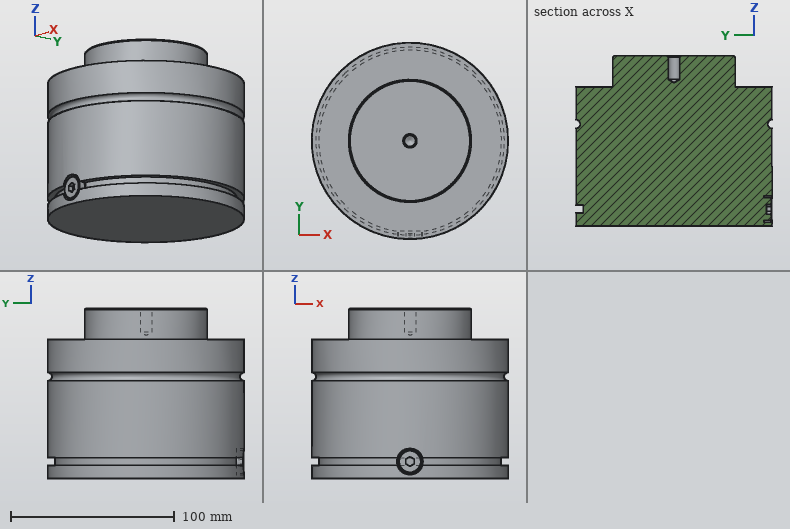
import cadquery as cq
import math

body_diameter = 120.0
body_radius = body_diameter / 2
body_height = 85.0
total_height = 104.0

rod_diameter = 75.0
rod_chamfer = 1.0

hole_diameter = 6.8
hole_mouth_diameter = 8.5
hole_depth = 14.4
drill_point_angle = 118.0

square_groove_bottom = 8.0
square_groove_width = 4.8
square_groove_depth = 4.3
round_groove_height = 62.3
round_groove_radius = 2.5

plug_height = square_groove_bottom + square_groove_width / 2
plug_diameter = 14.0
plug_chamfer = 0.5
plug_face_inset = 0.5
pocket_diameter = 16.0
pocket_depth = 5.0
hex_across_flats = 5.0
hex_depth = 3.0


def make_body():
    body = cq.Workplane("XY").circle(body_radius).extrude(body_height)
    rod = (
        cq.Workplane("XY")
        .circle(rod_diameter / 2)
        .extrude(total_height)
        .faces(">Z")
        .chamfer(rod_chamfer)
    )
    return body.union(rod)


def make_square_groove():
    return (
        cq.Workplane("XY", origin=(0, 0, square_groove_bottom))
        .circle(body_radius + square_groove_depth)
        .circle(body_radius - square_groove_depth)
        .extrude(square_groove_width)
    )


def make_round_groove():
    return (
        cq.Workplane("XZ")
        .center(body_radius, round_groove_height)
        .circle(round_groove_radius)
        .revolve(360, (-body_radius, 0), (-body_radius, 1))
    )


def make_centre_hole():
    hole_radius = hole_diameter / 2
    mouth_radius = hole_mouth_diameter / 2
    mouth_depth = mouth_radius - hole_radius
    point_depth = hole_radius / math.tan(math.radians(drill_point_angle / 2))
    hole_floor = total_height - hole_depth
    return (
        cq.Workplane("XZ")
        .moveTo(0, total_height)
        .lineTo(mouth_radius, total_height)
        .lineTo(hole_radius, total_height - mouth_depth)
        .lineTo(hole_radius, hole_floor)
        .lineTo(0, hole_floor - point_depth)
        .close()
        .revolve(360, (0, 0), (0, 1))
    )


def plug_plane(inset):
    """Plane facing -Y, set back from the body surface by the given inset."""
    return cq.Workplane("XZ", origin=(0, inset - body_radius, plug_height))


def make_pocket():
    return plug_plane(0).circle(pocket_diameter / 2).extrude(-pocket_depth)


def make_plug():
    hex_corner_diameter = hex_across_flats / math.cos(math.radians(30))
    plug = (
        plug_plane(plug_face_inset)
        .circle(plug_diameter / 2)
        .extrude(-pocket_depth)
        .faces("<Y")
        .chamfer(plug_chamfer)
    )
    socket = (
        plug_plane(plug_face_inset)
        .transformed(rotate=(0, 0, 90))
        .polygon(6, hex_corner_diameter)
        .extrude(-hex_depth)
    )
    return plug.cut(socket)


result = (
    make_body()
    .cut(make_square_groove())
    .cut(make_round_groove())
    .cut(make_centre_hole())
    .cut(make_pocket())
    .union(make_plug())
)